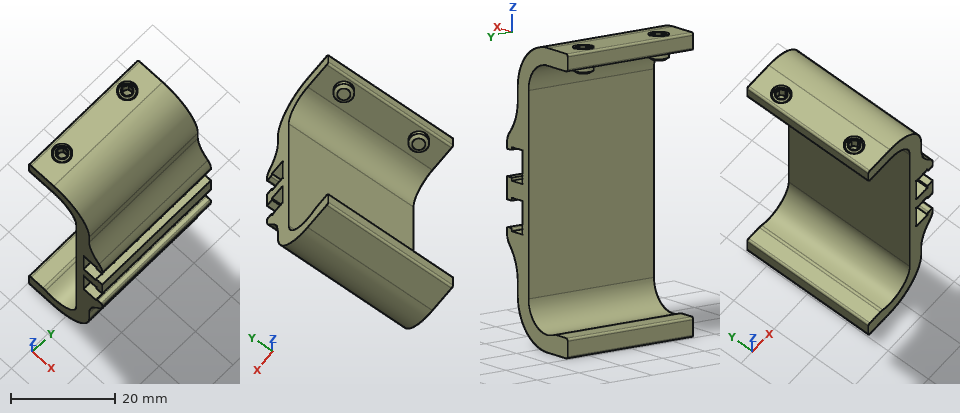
import cadquery as cq
import math

depth = 19.5
width = 30.0
height = 60.0

wall = 3.5
wall_outer_x = 16.0
bend_outer_radius = 9.5
bend_inner_radius = bend_outer_radius - wall
lower_lip = 4.0
edge_radius = 0.5
lip_blend_radius = 2.0

slot_floor_x = 14.5
mouth_x = 17.9
slot_inner_z = 1.7
slot_outer_z = 8.3
mouth_step = 0.6
mouth_radius = 0.35
shoulder_concave_radius = 10.0
shoulder_convex_radius = 3.5
shoulder_crest_z = 8.75

screw_diameter = 4.0
screw_length = 5.0
screw_face_diameter = 2.5
screw_chamfer_height = 0.5
screw_x = 3.0
screw_y = 9.0
tapped_diameter = 3.3
socket_flats = 2.0
socket_depth = 2.0
socket_tip_angle = 118.0

top = height / 2
wall_inner_x = wall_outer_x - wall
bend_x = wall_outer_x - bend_outer_radius
bend_z = top - bend_outer_radius
mouth_inner_z = slot_inner_z + mouth_step
mouth_outer_z = slot_outer_z - mouth_step
cos45 = math.sqrt(0.5)


def make_bracket():
    """C-shaped wall with two flanges, extruded across the width."""
    lower_lip_z = -top + lower_lip
    lip_x = bend_x - math.sqrt(bend_inner_radius**2 - (lower_lip_z + bend_z) ** 2)
    outer_mid = bend_outer_radius * cos45
    inner_mid = bend_inner_radius * cos45

    profile = (
        cq.Workplane("XZ")
        .moveTo(0, top)
        .lineTo(bend_x, top)
        .threePointArc((bend_x + outer_mid, bend_z + outer_mid), (wall_outer_x, bend_z))
        .lineTo(wall_outer_x, -bend_z)
        .threePointArc((bend_x + outer_mid, -bend_z - outer_mid), (bend_x, -top))
        .lineTo(0, -top)
        .lineTo(0, lower_lip_z)
        .lineTo(lip_x, lower_lip_z)
        .threePointArc((bend_x + inner_mid, -bend_z - inner_mid), (wall_inner_x, -bend_z))
        .lineTo(wall_inner_x, bend_z)
        .threePointArc((bend_x + inner_mid, bend_z + inner_mid), (bend_x, top - wall))
        .lineTo(0, top - wall)
        .close()
    )
    bracket = profile.extrude(width / 2, both=True)
    bracket = bracket.faces("<X").edges("|Y").fillet(edge_radius)
    lip_edge = cq.selectors.NearestToPointSelector((lip_x, 0, lower_lip_z))
    return bracket.edges(lip_edge).fillet(lip_blend_radius)


def make_shoulder():
    """Upper rail shoulder: an S-curve from the wall out to the slot mouth."""
    radius_sum = shoulder_concave_radius + shoulder_convex_radius
    turn = math.acos(1 - (depth - wall_outer_x) / radius_sum)
    start_z = shoulder_crest_z + radius_sum * math.sin(turn)
    concave_x = wall_outer_x + shoulder_concave_radius
    convex_x = depth - shoulder_convex_radius

    def concave(angle):
        return (
            concave_x - shoulder_concave_radius * math.cos(angle),
            start_z - shoulder_concave_radius * math.sin(angle),
        )

    def convex(angle):
        return (
            convex_x + shoulder_convex_radius * math.cos(angle),
            shoulder_crest_z + shoulder_convex_radius * math.sin(angle),
        )

    half_turn = turn / 2
    shoulder = (
        cq.Workplane("XZ")
        .moveTo(slot_floor_x, start_z)
        .lineTo(wall_outer_x, start_z)
        .threePointArc(concave(half_turn), concave(turn))
        .threePointArc(convex(half_turn), (depth, shoulder_crest_z))
        .lineTo(depth, mouth_outer_z)
        .lineTo(mouth_x, mouth_outer_z)
        .lineTo(mouth_x, slot_outer_z)
        .lineTo(slot_floor_x, slot_outer_z)
        .close()
        .extrude(width / 2, both=True)
    )
    mouth_face = cq.selectors.NearestToPointSelector(((mouth_x + depth) / 2, 0, mouth_outer_z))
    return shoulder.faces(mouth_face).edges("|Y").fillet(mouth_radius)


def make_center_rib():
    """T-shaped rib between the two slots."""
    stem_length = depth - slot_floor_x
    head_length = depth - mouth_x
    stem = cq.Workplane("XY").box(stem_length, width, 2 * slot_inner_z)
    head = cq.Workplane("XY").box(head_length, width, 2 * mouth_inner_z)
    stem = stem.translate((slot_floor_x + stem_length / 2, 0, 0))
    return stem.union(head.translate((mouth_x + head_length / 2, 0, 0)))


def cut_slot_floors(body):
    """Sink both slots into the wall down to the slot floor."""
    slot_height = slot_outer_z - slot_inner_z
    slot_depth = mouth_x - slot_floor_x
    slot = cq.Workplane("XY").box(slot_depth, width, slot_height)
    for side in (1, -1):
        center = (slot_floor_x + slot_depth / 2, 0, side * (slot_inner_z + slot_outer_z) / 2)
        body = body.cut(slot.translate(center))
    return body


def revolve_about_z(points):
    """Solid of revolution from (radius, z) points."""
    return cq.Workplane("XZ").polyline(points).close().revolve(360, (0, 0), (0, 1))


def make_tapped_hole():
    """Hole with a 45 degree countersink; its mouth is at the origin."""
    hole_radius = tapped_diameter / 2
    sink_radius = screw_diameter / 2
    sink_depth = sink_radius - hole_radius
    return revolve_about_z(
        [
            (0, 0),
            (sink_radius, 0),
            (hole_radius, -sink_depth),
            (hole_radius, -wall),
            (0, -wall),
        ]
    )


def make_set_screw():
    """Set screw with chamfered ends and a hex socket; its top is at the origin."""
    radius = screw_diameter / 2
    face_radius = screw_face_diameter / 2
    blank = revolve_about_z(
        [
            (0, 0),
            (face_radius, 0),
            (radius, -screw_chamfer_height),
            (radius, -screw_length + screw_chamfer_height),
            (face_radius, -screw_length),
            (0, -screw_length),
        ]
    )
    corner_diameter = socket_flats / math.cos(math.pi / 6)
    hexagon = cq.Workplane("XY").polygon(6, corner_diameter).extrude(-socket_depth)
    tip_radius = socket_flats / 2
    tip_depth = tip_radius / math.tan(math.radians(socket_tip_angle / 2))
    tip = revolve_about_z(
        [(0, -socket_depth), (tip_radius, -socket_depth), (0, -socket_depth - tip_depth)]
    )
    return blank.cut(hexagon).cut(tip)


body = cut_slot_floors(make_bracket())
upper_shoulder = make_shoulder()
body = body.union(upper_shoulder).union(upper_shoulder.mirror("XY")).union(make_center_rib())

for y in (screw_y, -screw_y):
    place = (screw_x, y, top)
    body = body.cut(make_tapped_hole().translate(place))
    body = body.union(make_set_screw().translate(place))

result = body